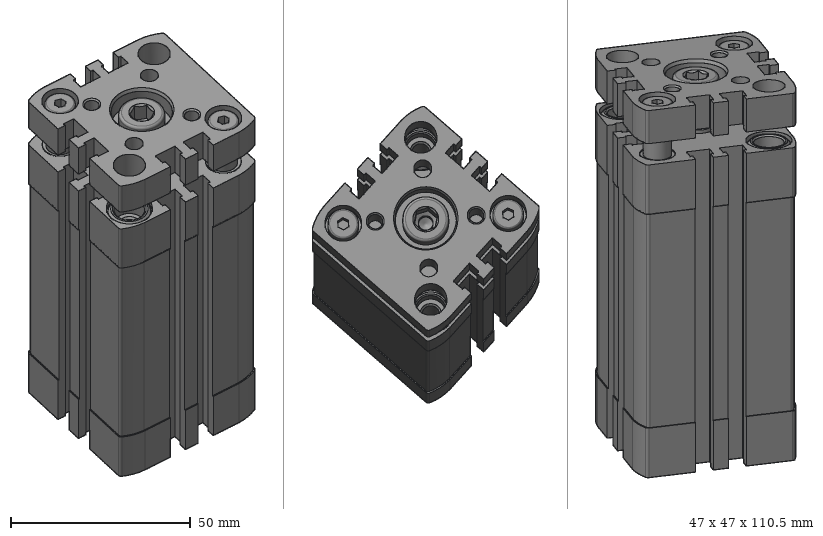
import cadquery as cq
import math


total_height = 110.5
plate_thickness = 10.0
plate_gap = 6.4
cap_length = 14.9
plate_bottom = total_height - plate_thickness
housing_top = plate_bottom - plate_gap

half_width = 23.48
tube_inset = 0.3
corner_radius = 32 / 2
corner_start = 16.2
corner_width = 2.0
corner_edge_round = 1.0

slot_depth = 6.0
slot_lip = 2.5
slot_mouth_inner = 2.2
slot_mouth_outer = 7.4
slot_groove_inner = 1.4
slot_groove_outer = 8.2

corner_pitch = 16.2
guide_corners = [(-corner_pitch, -corner_pitch), (corner_pitch, corner_pitch)]
mount_corners = [(-corner_pitch, corner_pitch), (corner_pitch, -corner_pitch)]
guide_diameter = 8.0
rod_insertion = cap_length
guide_seat_diameter = 10.0
guide_seat_depth = 0.3

screw_recess_diameter = 10.2
screw_recess_depth = 6.0
screw_head_diameter = 8.5
screw_head_round = 0.4
screw_head_drop = 0.8
screw_socket_across_flats = 3.0
screw_socket_depth = 3.0
screw_socket_turn = 15

access_diameter = 9.0
small_pitch = 10.0
thread_corners = [(-small_pitch, -small_pitch), (small_pitch, small_pitch)]
dowel_corners = [(-small_pitch, small_pitch), (small_pitch, -small_pitch)]
dowel_diameter = 5.0
thread_diameter = 4.1
thread_chamfer = (dowel_diameter - thread_diameter) / 2

bore_diameter = 17.0
bore_depth = 6.0
bore_mouth_diameter = 17.9
bore_chamfer_depth = 1.0
stub_diameter = 12.8
stub_round = 0.8
stub_drop = 1.1
stub_top = total_height - stub_drop
piston_diameter = 11.9
piston_flats = 10.2
flat_start = 1.4
flat_ledge_drop = 0.4
rod_socket_across_flats = 6.0
rod_socket_depth = 6.0
rod_socket_mouth = 7.2
rod_pilot_diameter = 4.1
rod_pilot_depth = 2.0
drill_point_angle = 118

mount_recess_diameter = 12.8
mount_collar_diameter = 11.9
mount_recess_depth = 1.5
mount_collar_drop = 0.2
mount_collar_chamfer = 0.8
mount_head_diameter = 8.5
mount_head_depth = 6.0
mount_head_chamfer = 0.4
mount_hole_diameter = 4.9
mount_hole_mouth = 6.0


def cylinder(diameter, bottom, top, spots=((0, 0),)):
    """Vertical cylinders between two heights, one at each spot."""
    plane = cq.Workplane("XY").workplane(offset=bottom)
    return plane.pushPoints(list(spots)).circle(diameter / 2).extrude(top - bottom)


def cone(bottom_diameter, top_diameter, bottom, top, spots=((0, 0),)):
    """Vertical cones between two heights, one at each spot."""
    cones = cq.Workplane("XY")
    for x, y in spots:
        solid = cq.Solid.makeCone(
            bottom_diameter / 2, top_diameter / 2, top - bottom, pnt=cq.Vector(x, y, bottom)
        )
        cones = cones.add(solid)
    return cones.combine()


def hexagon(across_flats, turn, bottom, top):
    """Hexagonal prism on the Z axis with a corner at the angle `turn`."""
    corner_diameter = across_flats / math.cos(math.radians(30))
    prism = cq.Workplane("XY").workplane(offset=bottom).polygon(6, corner_diameter).extrude(top - bottom)
    return prism.rotate((0, 0, 0), (0, 0, 1), turn)


def profile(half, bottom, top):
    """Square bar with wide arc corners between its X and Y sides, rounded where they meet the Y sides."""
    face_x = half - corner_width
    bar = (
        cq.Workplane("XY")
        .workplane(offset=bottom)
        .moveTo(half, -corner_start)
        .lineTo(half, corner_start)
        .radiusArc((face_x, half), -corner_radius)
        .lineTo(-face_x, half)
        .radiusArc((-half, corner_start), -corner_radius)
        .lineTo(-half, -corner_start)
        .radiusArc((-face_x, -half), -corner_radius)
        .lineTo(face_x, -half)
        .radiusArc((half, -corner_start), -corner_radius)
        .close()
        .extrude(top - bottom)
    )
    return bar.edges("|Z").edges("<Y or >Y").fillet(corner_edge_round)


def slots(bottom, top):
    """Cutters for the pairs of T-slots on the -Y, +X and -X sides."""
    height = top - bottom
    lip_y = slot_lip - half_width
    floor_y = slot_depth - half_width
    plane = cq.Workplane("XY").workplane(offset=bottom)
    cutters = cq.Workplane("XY")
    for side in (-1, 1):
        mouth = plane.moveTo(side * slot_mouth_inner, -half_width)
        mouth = mouth.lineTo(side * slot_mouth_outer, -half_width)
        mouth = mouth.lineTo(side * slot_mouth_outer, lip_y)
        mouth = mouth.lineTo(side * slot_groove_outer, lip_y)
        mouth = mouth.lineTo(side * slot_groove_outer, floor_y)
        mouth = mouth.lineTo(side * slot_groove_inner, floor_y)
        mouth = mouth.lineTo(side * slot_groove_inner, lip_y)
        mouth = mouth.lineTo(side * slot_mouth_inner, lip_y)
        slot = mouth.close().extrude(height)
        for turn in (-90, 0, 90):
            cutters = cutters.add(slot.rotate((0, 0, 0), (0, 0, 1), turn))
    return cutters.combine()


def rod_bores():
    """Space in the housing for the piston rod and the guide rods."""
    bottom = housing_top - rod_insertion
    seats = cylinder(guide_seat_diameter, housing_top - guide_seat_depth, housing_top, guide_corners)
    guides = cylinder(guide_diameter, bottom, housing_top, guide_corners)
    piston = cylinder(piston_diameter, bottom, housing_top)
    return seats.union(guides).union(piston)


def mount_bores():
    """Through holes with a deep counterbore inside a collar that stands in a shallow recess."""
    collar_top = housing_top - mount_collar_drop
    head_floor = housing_top - mount_head_depth
    mouth_depth = (mount_hole_mouth - mount_hole_diameter) / 2
    recess = cylinder(mount_recess_diameter, housing_top - mount_recess_depth, housing_top, mount_corners)
    collar = cylinder(mount_collar_diameter, housing_top - mount_recess_depth, collar_top, mount_corners)
    collar = collar.faces(">Z").edges().chamfer(mount_collar_chamfer)
    head = cylinder(mount_head_diameter, head_floor, housing_top, mount_corners)
    head_mouth = cone(
        mount_head_diameter,
        mount_head_diameter + 2 * mount_head_chamfer,
        collar_top - mount_head_chamfer,
        collar_top,
        mount_corners,
    )
    hole = cylinder(mount_hole_diameter, 0, housing_top, mount_corners)
    hole_mouth = cone(
        mount_hole_diameter, mount_hole_mouth, head_floor - mouth_depth, head_floor, mount_corners
    )
    return recess.cut(collar).union(head).union(head_mouth).union(hole).union(hole_mouth)


def make_housing():
    """Tube with a slightly wider cap at each end."""
    bottom_cap = profile(half_width, 0, cap_length)
    tube = profile(half_width - tube_inset, cap_length, housing_top - cap_length)
    top_cap = profile(half_width, housing_top - cap_length, housing_top)
    bar = bottom_cap.union(tube).union(top_cap)
    return bar.cut(slots(0, housing_top)).cut(rod_bores()).cut(mount_bores())


def make_plate():
    """Yoke plate with its holes and the recesses for the screws and the piston rod."""
    plate = profile(half_width, plate_bottom, total_height).cut(slots(plate_bottom, total_height))
    plate = plate.cut(cylinder(access_diameter, plate_bottom, total_height, mount_corners))
    plate = plate.cut(cylinder(dowel_diameter, plate_bottom, total_height, dowel_corners))
    plate = plate.cut(cylinder(thread_diameter, plate_bottom, total_height, thread_corners))
    thread_mouth = cone(
        thread_diameter, dowel_diameter, total_height - thread_chamfer, total_height, thread_corners
    )
    plate = plate.cut(thread_mouth)
    plate = plate.cut(
        cylinder(screw_recess_diameter, total_height - screw_recess_depth, total_height, guide_corners)
    )
    plate = plate.cut(cylinder(bore_diameter, total_height - bore_depth, total_height))
    bore_mouth = cone(bore_diameter, bore_mouth_diameter, total_height - bore_chamfer_depth, total_height)
    return plate.cut(bore_mouth)


def make_screw_head():
    """Rounded screw head on the Z axis with a hexagon socket."""
    top = total_height - screw_head_drop
    head = cylinder(screw_head_diameter, total_height - screw_recess_depth, top)
    head = head.faces(">Z").edges().fillet(screw_head_round)
    return head.cut(hexagon(screw_socket_across_flats, screw_socket_turn, top - screw_socket_depth, top))


def make_piston_rod():
    """Rod with two wrench flats below the plate and a rounded stub inside the plate."""
    rod = cylinder(piston_diameter, housing_top - rod_insertion, plate_bottom)
    flat_bottom = housing_top + flat_start
    flat_y = piston_flats / 2
    outer_y = piston_diameter / 2
    flat = (
        cq.Workplane("YZ")
        .moveTo(flat_y, flat_bottom)
        .lineTo(outer_y, flat_bottom - flat_ledge_drop)
        .lineTo(outer_y, plate_bottom)
        .lineTo(flat_y, plate_bottom)
        .close()
        .extrude(outer_y, both=True)
    )
    rod = rod.cut(flat).cut(flat.mirror("XZ"))
    stub = cylinder(stub_diameter, plate_bottom, stub_top).faces(">Z").edges().fillet(stub_round)
    return rod.union(stub)


def rod_socket(top):
    """Hexagon socket with a countersunk mouth, a conical floor and a pointed pilot hole."""
    floor = top - rod_socket_depth
    point_slope = math.tan(math.radians(drill_point_angle / 2))
    funnel_top_diameter = rod_pilot_diameter + 2 * rod_socket_depth * point_slope
    mouth_depth = (rod_socket_mouth - rod_pilot_diameter) / 2
    pilot_bottom = floor - rod_pilot_depth
    pilot_point = pilot_bottom - rod_pilot_diameter / 2 / point_slope
    funnel = cone(rod_pilot_diameter, funnel_top_diameter, floor, top)
    socket = hexagon(rod_socket_across_flats, 0, floor, top).intersect(funnel)
    mouth = cone(rod_pilot_diameter, rod_socket_mouth, top - mouth_depth, top)
    pilot = cylinder(rod_pilot_diameter, pilot_bottom, floor)
    point = cone(0, rod_pilot_diameter, pilot_point, pilot_bottom)
    return socket.union(mouth).union(pilot).union(point)


def make_moving_unit():
    """Plate, guide rods, their screw heads and the piston rod as one solid."""
    unit = make_plate().union(make_piston_rod())
    unit = unit.union(cylinder(guide_diameter, housing_top - rod_insertion, plate_bottom, guide_corners))
    screw_head = make_screw_head()
    for x, y in guide_corners:
        unit = unit.union(screw_head.translate((x, y, 0)))
    return unit.cut(rod_socket(stub_top))


housing = make_housing()
moving_unit = make_moving_unit()

result = cq.Compound.makeCompound([housing.val(), moving_unit.val()])